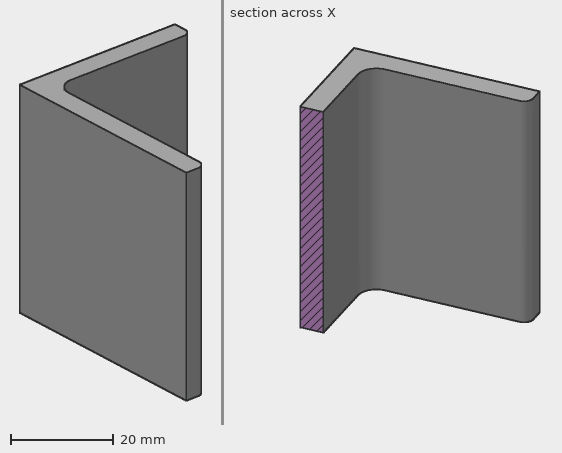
import cadquery as cq

long_leg = 50.0
short_leg = 40.0
length = 50.0
thickness = 5.0
root_radius = 4.0
toe_radius = 2.0

section = [
    (0, 0),
    (long_leg, 0),
    (long_leg, thickness),
    (thickness, thickness),
    (thickness, short_leg),
    (0, short_leg),
]
angle = cq.Workplane("XY").polyline(section).close().extrude(length)


def round_edge(body, x, y, radius):
    """Round the vertical edge nearest to the section point (x, y)."""
    edge_point = (x, y, length / 2)
    return body.edges(cq.selectors.NearestToPointSelector(edge_point)).fillet(radius)


angle = round_edge(angle, thickness, thickness, root_radius)
angle = round_edge(angle, long_leg, thickness, toe_radius)
angle = round_edge(angle, thickness, short_leg, toe_radius)

result = angle